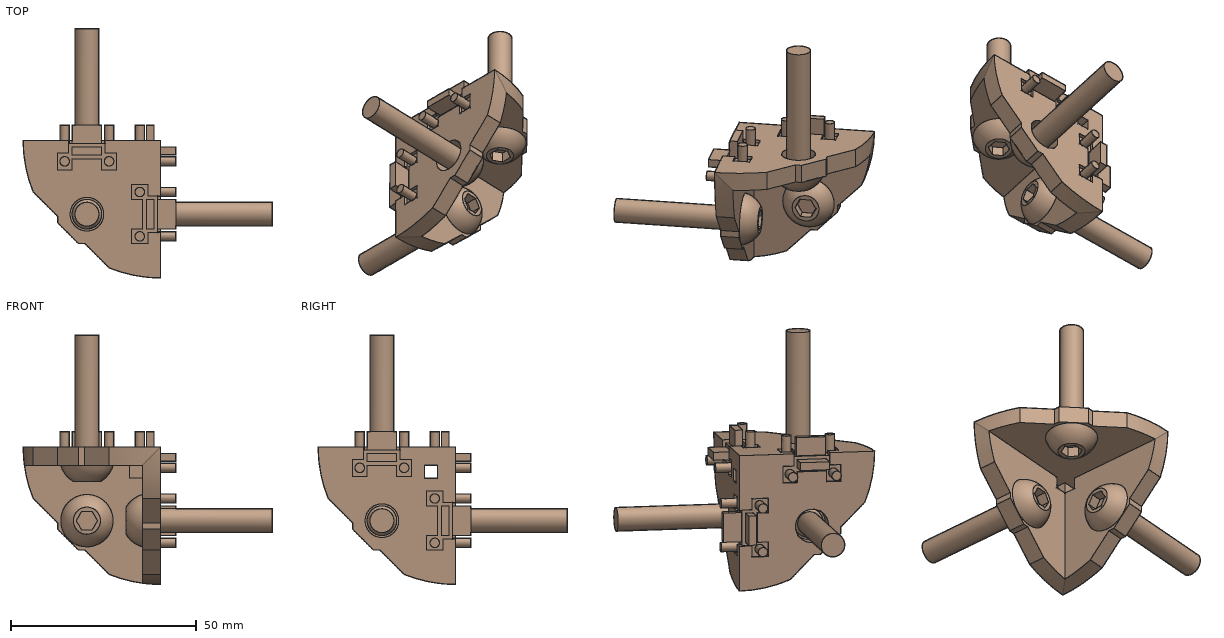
import cadquery as cq
import math


corner_radius = 37.1
plate_thickness = 5.0
nose_half_width = 3.95
shoulder_distance = 34.15
nose_distance = 35.35
station = 19.9
bolt_hole_diameter = 9.1
window_size = 3.4
blind_window_depth = plate_thickness / 2

pocket_depth = 0.9
throat_width = 9.9
ear_span = 15.9
ear_near = 3.35
ear_far = 7.9
pocket_bridge = 5.0
tab_width = 8.0
tab_thickness = 2.15
tab_inset = 1.75
pin_diameter = 2.55
connector_rise = 4.1

overall_length = 67.2
bolt_end = overall_length - corner_radius
shank_diameter = 6.45
neck_diameter = 8.0
neck_length = 1.15
head_diameter = 14.1
head_height = 4.4
head_flat_diameter = 7.3
hex_across_flats = 5.0
hex_depth = 3.0

X_AXIS = cq.Vector(1, 0, 0)
Y_AXIS = cq.Vector(0, 1, 0)
Z_AXIS = cq.Vector(0, 0, 1)
AXES = [X_AXIS, Y_AXIS, Z_AXIS]
NEXT_AXES = [Y_AXIS, Z_AXIS, X_AXIS]


def rim_prism(normal, across):
    """Plate outline extruded through the whole bracket along one axis."""
    half_chord = math.sqrt(corner_radius**2 - shoulder_distance**2)
    arc_end_far = (shoulder_distance + half_chord) / math.sqrt(2)
    arc_end_near = (shoulder_distance - half_chord) / math.sqrt(2)
    nose_far = (nose_distance + nose_half_width) / math.sqrt(2)
    nose_near = (nose_distance - nose_half_width) / math.sqrt(2)
    step_near = shoulder_distance * math.sqrt(2) - nose_far
    half_angle = math.atan2(arc_end_near, arc_end_far) / 2
    arc_mid_far = corner_radius * math.cos(half_angle)
    arc_mid_near = corner_radius * math.sin(half_angle)
    plane = cq.Plane(origin=(0, 0, 0), xDir=across, normal=normal)

    def point(first, second):
        return (-first, -second)

    return (
        cq.Workplane(plane)
        .lineTo(*point(corner_radius, 0))
        .threePointArc(point(arc_mid_far, arc_mid_near), point(arc_end_far, arc_end_near))
        .lineTo(*point(nose_far, step_near))
        .lineTo(*point(nose_far, nose_near))
        .lineTo(*point(nose_near, nose_far))
        .lineTo(*point(step_near, nose_far))
        .lineTo(*point(arc_end_near, arc_end_far))
        .threePointArc(point(arc_mid_near, arc_mid_far), point(0, corner_radius))
        .close()
        .extrude(-corner_radius)
    )


def corner_cube(size, offset):
    """Cube in the negative octant, set back from the outer corner by offset."""
    return cq.Workplane("XY").box(size, size, size, centered=False).translate((-offset - size,) * 3)


def make_plates():
    shell = corner_cube(corner_radius, 0).cut(corner_cube(corner_radius, plate_thickness))
    for normal, across in zip(AXES, NEXT_AXES):
        shell = shell.intersect(rim_prism(normal, across))
    return shell


def bolt_plane(axis, across):
    """Plane on the inner face of a plate, centred on its bolt."""
    sideways = cq.Vector(1, 1, 1) - axis
    origin = sideways * -station - axis * plate_thickness
    return cq.Plane(origin=origin, xDir=across, normal=axis)


def edge_plane(normal, edge_side):
    """Plane on an outer face at mid connector; local +Y points from the edge into the plate."""
    along = normal.cross(edge_side)
    edge_axis = cq.Vector(1, 1, 1) - normal - edge_side
    return cq.Plane(origin=edge_axis * -station, xDir=along, normal=normal)


def connector_pocket(plane):
    throat = cq.Workplane(plane).rect(throat_width, 2 * ear_near).extrude(-pocket_depth)
    ears = (
        cq.Workplane(plane)
        .center(0, (ear_near + ear_far) / 2)
        .rect(ear_span, ear_far - ear_near)
        .extrude(-pocket_depth)
    )
    island = (
        cq.Workplane(plane)
        .center(0, (pocket_bridge + ear_far) / 2)
        .rect(tab_width, ear_far - pocket_bridge)
        .extrude(-pocket_depth)
    )
    return throat.union(ears).cut(island)


def connector_posts(plane):
    """Tab and two pins standing on the pocket floor."""
    floor = cq.Workplane(plane).workplane(offset=-pocket_depth)
    height = pocket_depth + connector_rise
    pin_offset = (tab_width + ear_span) / 4
    pin_inset = (ear_near + ear_far) / 2
    tab = floor.center(0, tab_inset + tab_thickness / 2).rect(tab_width, tab_thickness).extrude(height)
    pins = (
        floor.pushPoints([(-pin_offset, pin_inset), (pin_offset, pin_inset)])
        .circle(pin_diameter / 2)
        .extrude(height)
    )
    return [tab, pins]


def cut_windows(bracket):
    """Square window through the X plate and a matching blind one in the Y plate."""
    centre = -plate_thickness - window_size / 2
    through = cq.Workplane("XY").box(plate_thickness, window_size, window_size)
    blind = cq.Workplane("XY").box(window_size, blind_window_depth, window_size)
    bracket = bracket.cut(through.translate((-plate_thickness / 2, centre, centre)))
    return bracket.cut(blind.translate((centre, -plate_thickness + blind_window_depth / 2, centre)))


def make_bracket():
    bracket = make_plates()
    for normal, across in zip(AXES, NEXT_AXES):
        hole = (
            cq.Workplane(bolt_plane(normal, across))
            .circle(bolt_hole_diameter / 2)
            .extrude(plate_thickness)
        )
        bracket = bracket.cut(hole)
    bracket = cut_windows(bracket)
    edges = [edge_plane(n, s) for n in AXES for s in AXES if n != s]
    for plane in edges:
        bracket = bracket.cut(connector_pocket(plane))
    for plane in edges:
        for post in connector_posts(plane):
            bracket = bracket.union(post)
    return bracket


def make_bolt(axis, hex_corner_axis):
    """Button-head bolt with its head seated on the inner face of a plate."""
    plane = bolt_plane(axis, hex_corner_axis)
    rim_radius = head_diameter / 2
    flat_radius = head_flat_diameter / 2
    centre_depth = (rim_radius**2 - flat_radius**2 - head_height**2) / (2 * head_height)
    dome_radius = math.hypot(rim_radius, centre_depth)
    dome_mid_radius = math.sqrt(dome_radius**2 - (centre_depth + head_height / 2) ** 2)
    shank_radius = shank_diameter / 2
    tip = plate_thickness + bolt_end
    profile_plane = cq.Plane(origin=plane.origin, xDir=plane.xDir, normal=plane.xDir.cross(plane.zDir))
    body = (
        cq.Workplane(profile_plane)
        .moveTo(0, -head_height)
        .lineTo(flat_radius, -head_height)
        .threePointArc((dome_mid_radius, -head_height / 2), (rim_radius, 0))
        .lineTo(neck_diameter / 2, 0)
        .lineTo(shank_radius, neck_length)
        .lineTo(shank_radius, tip)
        .lineTo(0, tip)
        .close()
        .revolve(360, (0, 0), (0, 1))
    )
    hex_across_corners = hex_across_flats / math.cos(math.pi / 6)
    socket = (
        cq.Workplane(plane)
        .workplane(offset=-head_height)
        .polygon(6, hex_across_corners)
        .extrude(hex_depth)
    )
    return body.cut(socket)


bracket = make_bracket()
bolt_directions = [(X_AXIS, Y_AXIS), (Y_AXIS, X_AXIS), (Z_AXIS, X_AXIS)]
bolts = [make_bolt(axis, hex_corner_axis) for axis, hex_corner_axis in bolt_directions]

result = cq.Compound.makeCompound([bracket.val(), *[bolt.val() for bolt in bolts]])